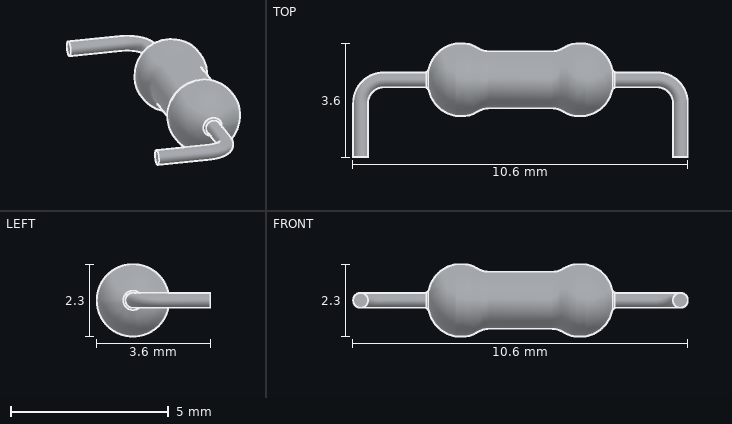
import cadquery as cq

overall_length = 10.62
lead_diameter = 0.48
lead_radius = lead_diameter / 2
bend_radius = 0.74
leg_reach = 2.45
lead_axis_x = overall_length / 2 - lead_radius

barrel_diameter = 1.82
barrel_radius = barrel_diameter / 2
barrel_half_length = 1.01
head_diameter = 2.3
head_radius = head_diameter / 2
band_inner_x = 1.77
band_outer_x = 2.06
dome_mid_x = 2.61
dome_mid_radius = 0.87
dome_end_x = 2.92
dome_end_radius = 0.31
body_end_x = 3.0


def make_body():
    """Revolve the full body profile about the X axis, running from -X to +X."""
    along_axis = [(1, 0), (1, 0)]
    profile = (
        cq.Workplane("XY")
        .moveTo(-body_end_x, 0)
        .lineTo(-body_end_x, lead_radius)
        .lineTo(-dome_end_x, dome_end_radius)
        .threePointArc((-dome_mid_x, dome_mid_radius), (-band_outer_x, head_radius))
        .lineTo(-band_inner_x, head_radius)
        .spline([(-barrel_half_length, barrel_radius)], tangents=along_axis, includeCurrent=True)
        .lineTo(barrel_half_length, barrel_radius)
        .spline([(band_inner_x, head_radius)], tangents=along_axis, includeCurrent=True)
        .lineTo(band_outer_x, head_radius)
        .threePointArc((dome_mid_x, dome_mid_radius), (dome_end_x, dome_end_radius))
        .lineTo(body_end_x, lead_radius)
        .lineTo(body_end_x, 0)
        .close()
    )
    return profile.revolve(360, (0, 0, 0), (1, 0, 0))


def make_lead():
    """Sweep a round wire from the body centre out along +X and round into the leg."""
    bend_start_x = lead_axis_x - bend_radius
    path = (
        cq.Workplane("XY")
        .lineTo(bend_start_x, 0)
        .radiusArc((lead_axis_x, -bend_radius), bend_radius)
        .lineTo(lead_axis_x, -leg_reach)
    )
    return cq.Workplane("YZ").circle(lead_radius).sweep(path)


lead = make_lead()
result = make_body().union(lead).union(lead.mirror("YZ"))